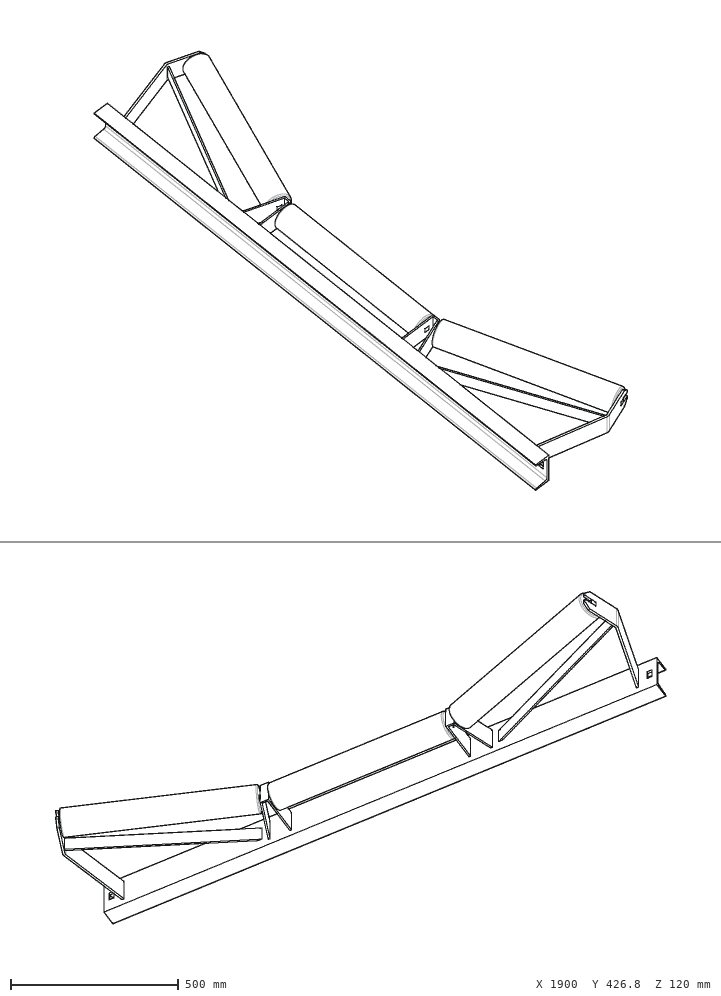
import cadquery as cq
import math

HALF_WIDTH = 950.0

CHANNEL_LENGTH = 1895.0
CHANNEL_HEIGHT = 120.0
FLANGE_WIDTH = 55.0
WEB_THICKNESS = 8.0
FLANGE_TIP = 6.7
FLANGE_ROOT = 11.0
ROOT_RADIUS = 8.5
TOE_RADIUS = 4.5
MOUNT_SLOT_X = 922.0
MOUNT_SLOT_WIDTH = 17.0
MOUNT_SLOT_HEIGHT = 29.0

ROLLER_DIAMETER = 90.0
ROLLER_LENGTH = 600.0
ROLLER_EDGE_RADIUS = 4.0
SHAFT_SIZE = 17.0
TROUGH_ANGLE = 20.0
CENTRE_ROLLER_Y = 112.0
SIDE_ROLLER_X = 625.0
SIDE_ROLLER_Y = 228.0

BAR_WIDTH = 76.0
OUTER_THICKNESS = 8.0
OUTER_LEG_ANGLE = 15.0
FOLD_Y = 245.0
FOLD_RADIUS = 19.0
TIP_OVERHANG = 35.0
TIP_CHAMFER = 19.0
INNER_THICKNESS = 5.0
INNER_HEIGHT = 143.0
INNER_LEG_X = 304.0
INNER_FOOT_X = 384.0
BRACE_THICKNESS = 5.0
BRACE_WIDTH = 50.0
BRACE_FOOT_X = 412.0
BRACE_HEAD_Y = 250.0

trough = math.radians(TROUGH_ANGLE)
lean = math.radians(OUTER_LEG_ANGLE)
axis = cq.Vector(math.cos(trough), math.sin(trough))
leg_up = cq.Vector(-math.sin(trough), math.cos(trough))
lower_up = cq.Vector(math.sin(lean), math.cos(lean))
straight = cq.Vector(1, 0)
centre_middle = cq.Vector(0, CENTRE_ROLLER_Y)
side_middle = cq.Vector(SIDE_ROLLER_X, SIDE_ROLLER_Y)

half_bend = (trough + lean) / 2
bend_tilt = (trough - lean) / 2
bend_loss = FOLD_RADIUS * (math.cos(bend_tilt) / math.cos(half_bend) - 1)
fold_outer = cq.Vector(HALF_WIDTH + bend_loss, FOLD_Y)
inward = cq.Vector(-math.cos(bend_tilt), -math.sin(bend_tilt))
fold_inner = fold_outer + inward * (OUTER_THICKNESS / math.cos(half_bend))

centre_shaft_end = INNER_LEG_X + INNER_THICKNESS
outer_shaft_end = (fold_outer - side_middle).dot(axis)
inner_shaft_end = (cq.Vector(INNER_FOOT_X, 0) - side_middle).dot(axis) - INNER_THICKNESS


def flat_bar(points, width=BAR_WIDTH):
    """Extrude an XY outline symmetrically about Z = 0."""
    outline = [(p.x, p.y) for p in points]
    return cq.Workplane("XY").polyline(outline).close().extrude(width / 2, both=True)


def point_at_height(point, direction, y):
    """Point on the line through point along direction that has the given Y."""
    return point + direction * ((y - point.y) / direction.y)


def roller_frame(centre, direction):
    """Plane across a roller at its middle: normal along the roller, local X along +Z."""
    return cq.Plane(origin=centre.toTuple(), xDir=(0, 0, 1), normal=direction.toTuple())


def make_shaft(centre, direction, start, end):
    """Square bar along a roller axis; start and end are measured from the roller's middle."""
    frame = roller_frame(centre, direction)
    section = cq.Workplane(frame).workplane(offset=start).rect(SHAFT_SIZE, SHAFT_SIZE)
    return section.extrude(end - start)


def make_roller(centre, direction, start, end):
    """Roller drum with its shaft running from start to end along direction."""
    drum_end = cq.Workplane(roller_frame(centre, direction)).workplane(offset=-ROLLER_LENGTH / 2)
    drum = drum_end.circle(ROLLER_DIAMETER / 2).extrude(ROLLER_LENGTH)
    drum = drum.edges("%CIRCLE").fillet(ROLLER_EDGE_RADIUS)
    return drum.union(make_shaft(centre, direction, start, end))


def make_channel():
    """Channel with tapered flanges pointing to -Y and a mounting slot near each end."""
    half = CHANNEL_HEIGHT / 2
    outline = [
        (0, -half),
        (-FLANGE_WIDTH, -half),
        (-FLANGE_WIDTH, -half + FLANGE_TIP),
        (-WEB_THICKNESS, -half + FLANGE_ROOT),
        (-WEB_THICKNESS, half - FLANGE_ROOT),
        (-FLANGE_WIDTH, half - FLANGE_TIP),
        (-FLANGE_WIDTH, half),
        (0, half),
    ]
    body = cq.Workplane("YZ").polyline(outline).close().extrude(CHANNEL_LENGTH / 2, both=True)

    for y, thickness, radius in (
        (-WEB_THICKNESS, FLANGE_ROOT, ROOT_RADIUS),
        (-FLANGE_WIDTH, FLANGE_TIP, TOE_RADIUS),
    ):
        for side in (-1, 1):
            place = (0, y, side * (half - thickness))
            edge = cq.selectors.NearestToPointSelector(place)
            body = body.edges("|X").edges(edge).fillet(radius)

    slots = (
        cq.Workplane("XZ")
        .pushPoints([(-MOUNT_SLOT_X, 0), (MOUNT_SLOT_X, 0)])
        .rect(MOUNT_SLOT_WIDTH, MOUNT_SLOT_HEIGHT)
        .extrude(WEB_THICKNESS)
    )
    return body.cut(slots)


def make_outer_bracket():
    """Bent bar whose chamfered upper end holds the shaft in an open slot."""
    tip_outer = side_middle + axis * outer_shaft_end + leg_up * TIP_OVERHANG
    tip_inner = tip_outer - axis * OUTER_THICKNESS
    foot_outer = point_at_height(fold_outer, lower_up, 0)
    foot_inner = point_at_height(fold_inner, lower_up, 0)
    bar = flat_bar([foot_outer, fold_outer, tip_outer, tip_inner, fold_inner, foot_inner])

    for corner, radius in (
        (fold_outer, FOLD_RADIUS),
        (fold_inner, FOLD_RADIUS - OUTER_THICKNESS),
    ):
        edge = cq.selectors.NearestToPointSelector(corner.toTuple())
        bar = bar.edges("|Z").edges(edge).fillet(radius)
    tip_corners = cq.selectors.ParallelDirSelector(axis)
    bar = bar.edges(tip_corners).chamfer(TIP_CHAMFER)

    slot_bottom = side_middle - leg_up * (SHAFT_SIZE / 2)
    slot_top = side_middle + leg_up * (2 * TIP_OVERHANG)
    past_bar = axis * (2 * outer_shaft_end)
    slot = flat_bar([slot_bottom, slot_bottom + past_bar, slot_top + past_bar, slot_top], SHAFT_SIZE)
    return bar.cut(slot)


def make_inner_bracket():
    """Bridge-shaped bar: upright leg for the centre roller, tilted leg for a side roller."""
    foot_outer = cq.Vector(INNER_FOOT_X, 0)
    foot_inner = cq.Vector(INNER_FOOT_X - INNER_THICKNESS / math.cos(trough), 0)
    underside = INNER_HEIGHT - INNER_THICKNESS
    bar = flat_bar([
        cq.Vector(INNER_LEG_X, 0),
        cq.Vector(INNER_LEG_X, INNER_HEIGHT),
        point_at_height(foot_outer, leg_up, INNER_HEIGHT),
        foot_outer,
        foot_inner,
        point_at_height(foot_inner, leg_up, underside),
        cq.Vector(centre_shaft_end, underside),
        cq.Vector(centre_shaft_end, 0),
    ])
    side_hole = make_shaft(side_middle, axis, inner_shaft_end, 0)
    centre_hole = make_shaft(centre_middle, straight, 0, centre_shaft_end)
    return bar.cut(side_hole).cut(centre_hole)


def make_brace(bracket):
    """Diagonal bar from the base channel to the inside of the outer bracket's bend."""
    foot = cq.Vector(BRACE_FOOT_X, 0)
    head = point_at_height((fold_outer + fold_inner) * 0.5, leg_up, BRACE_HEAD_Y)
    along = (head - foot).normalized()
    half = cq.Vector(-along.y, along.x) * (BRACE_THICKNESS / 2)
    bar = flat_bar([
        point_at_height(foot + half, along, 0),
        point_at_height(foot - half, along, 0),
        head - half,
        head + half,
    ], BRACE_WIDTH)
    return bar.cut(bracket)


def on_both_sides(body):
    return [body.val(), body.mirror("YZ").val()]


channel = make_channel()
outer_bracket = make_outer_bracket()
inner_bracket = make_inner_bracket()
brace = make_brace(outer_bracket)
centre_roller = make_roller(centre_middle, straight, -centre_shaft_end, centre_shaft_end)
side_roller = make_roller(side_middle, axis, inner_shaft_end, outer_shaft_end)

result = cq.Compound.makeCompound([
    channel.val(),
    centre_roller.val(),
    *on_both_sides(side_roller),
    *on_both_sides(outer_bracket),
    *on_both_sides(inner_bracket),
    *on_both_sides(brace),
])